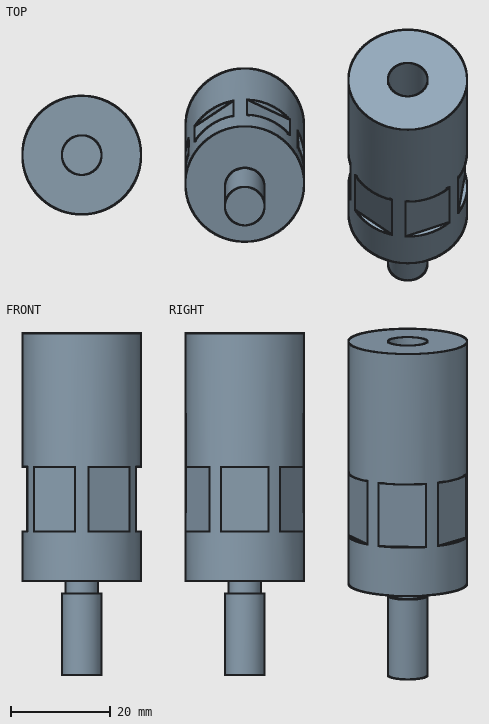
import cadquery as cq

total_length = 69.0
body_diameter = 24.0
body_length = 50.0

stud_diameter = 8.0
neck_diameter = 6.6
neck_length = 2.5
stud_length = total_length - body_length - neck_length

flat_count = 6
across_flats = 22.0
flats_height = 13.05
collar_height = 10.0

hole_diameter = stud_diameter
hole_depth = 20.0

body_bottom = stud_length + neck_length
flats_bottom = body_bottom + collar_height


def cylinder(diameter, bottom, height):
    """Vertical cylinder centred on the Z axis."""
    return cq.Workplane("XY").workplane(offset=bottom).circle(diameter / 2).extrude(height)


def flats_cutter():
    """Ring whose hexagonal inside leaves six separate wrench flats, two facing +X and -X."""
    level = cq.Workplane("XY").workplane(offset=flats_bottom)
    ring = level.circle(body_diameter).extrude(flats_height)
    hexagon = level.polygon(flat_count, across_flats, circumscribed=True).extrude(flats_height)
    return ring.cut(hexagon)


stud = cylinder(stud_diameter, 0, stud_length)
neck = cylinder(neck_diameter, stud_length, neck_length)
body = cylinder(body_diameter, body_bottom, body_length)
hole = cylinder(hole_diameter, total_length - hole_depth, hole_depth)

result = body.cut(flats_cutter()).cut(hole).union(neck).union(stud)